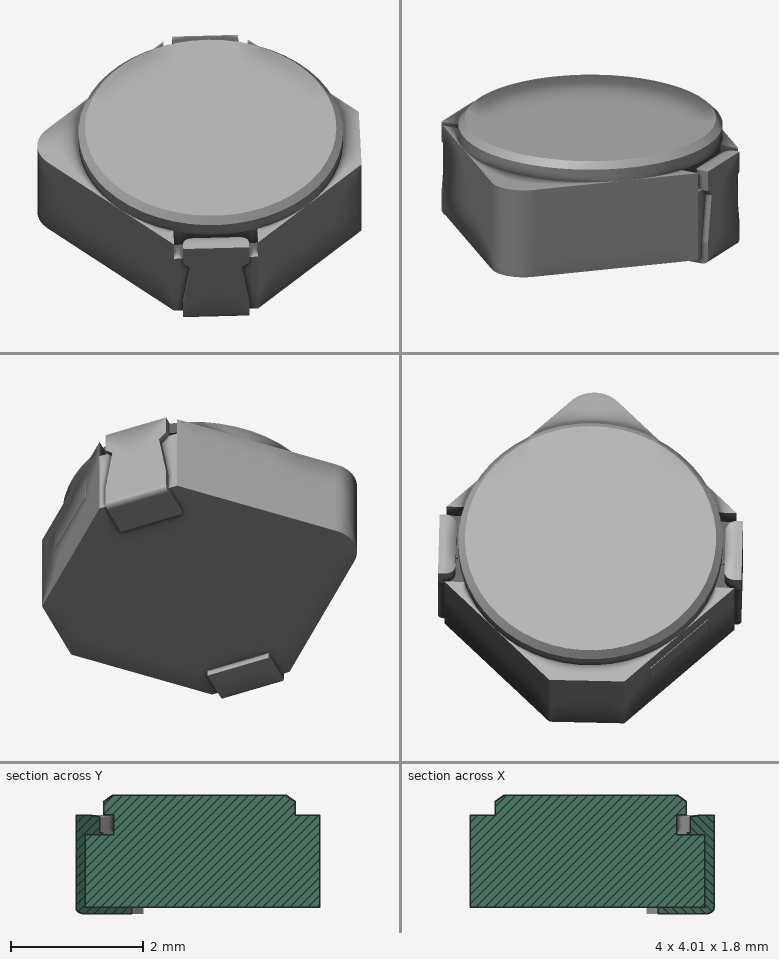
import cadquery as cq
import math

body_side = 4.0
half_side = body_side / 2
foot_thickness = 0.1
body_top = 1.5
lid_height = 0.3
lid_chamfer = 0.1

terminal_corner_cut = 0.9
plain_corner_cut = 0.8
rounded_corner_radius = 0.5

recess_floor = 1.2
recess_depth = 0.3

terminal_width = 1.0
sheet_thickness = 0.1
foot_length = 0.6
bend_radius = 0.095
tab_length = 0.16
tab_drop = 0.032
toe_width = 0.192
toe_length = 0.032
toe_height = 0.032
waist_depth = 0.115
waist_bottom = 0.355
waist_narrowest = 1.083
waist_top = 1.185

pad_length = 1.205
pad_height = 0.385
pad_thickness = 0.01
pad_center_x = 0.06
pad_center_z = 1.023

corner_distance = (body_side - terminal_corner_cut) / math.sqrt(2)
corner_face_width = terminal_corner_cut * math.sqrt(2)
terminal_outer = corner_distance + sheet_thickness
terminal_angles = (-45, 135)


def make_recess():
    """Block removed from the top of a corner, with the corner facing +X."""
    return (
        cq.Workplane("XY")
        .box(recess_depth, corner_face_width, body_top - recess_floor, centered=(False, True, False))
        .translate((corner_distance - recess_depth, 0, recess_floor))
    )


def make_body():
    """Square body with cut corners, a round chamfered lid and two corner recesses."""
    block = (
        cq.Workplane("XY", origin=(0, 0, foot_thickness))
        .moveTo(-half_side + rounded_corner_radius, -half_side)
        .lineTo(half_side - terminal_corner_cut, -half_side)
        .lineTo(half_side, -half_side + terminal_corner_cut)
        .lineTo(half_side, half_side - plain_corner_cut)
        .lineTo(half_side - plain_corner_cut, half_side)
        .lineTo(-half_side + terminal_corner_cut, half_side)
        .lineTo(-half_side, half_side - terminal_corner_cut)
        .lineTo(-half_side, -half_side + rounded_corner_radius)
        .radiusArc((-half_side + rounded_corner_radius, -half_side), -rounded_corner_radius)
        .close()
        .extrude(body_top - foot_thickness)
    )
    for angle in terminal_angles:
        block = block.cut(make_recess().rotate((0, 0, 0), (0, 0, 1), angle))
    lid = (
        cq.Workplane("XY", origin=(0, 0, body_top))
        .circle(half_side)
        .extrude(lid_height)
        .faces(">Z")
        .chamfer(lid_chamfer)
    )
    pad = (
        cq.Workplane("XY")
        .box(pad_length, pad_thickness, pad_height)
        .translate((pad_center_x, half_side + pad_thickness / 2, pad_center_z))
    )
    return block.union(lid).union(pad)


def make_foot():
    """Flat foot under the body, rounded where it bends up into the upright."""
    return (
        cq.Workplane("XY")
        .box(foot_length, terminal_width, foot_thickness, centered=(False, True, False))
        .translate((terminal_outer - foot_length, 0, 0))
        .edges(">X and <Z")
        .fillet(bend_radius)
    )


def make_upright():
    """Plate against the corner face, pinched by a notch on each side."""
    half_width = terminal_width / 2
    half_waist = half_width - waist_depth
    return (
        cq.Workplane("YZ", origin=(corner_distance, 0, 0))
        .moveTo(-half_width, foot_thickness)
        .lineTo(half_width, foot_thickness)
        .lineTo(half_width, waist_bottom)
        .lineTo(half_waist, waist_narrowest)
        .lineTo(half_width, waist_top)
        .lineTo(half_width, body_top)
        .lineTo(-half_width, body_top)
        .lineTo(-half_width, waist_top)
        .lineTo(-half_waist, waist_narrowest)
        .lineTo(-half_width, waist_bottom)
        .close()
        .extrude(sheet_thickness)
    )


def make_tab():
    """Inward tab on the recess floor: rounded ends, a top that curves down, and a small toe."""
    half_width = terminal_width / 2
    tab_end = corner_distance - tab_length
    plan = (
        cq.Workplane("XY", origin=(0, 0, recess_floor))
        .moveTo(corner_distance, -half_width)
        .radiusArc((tab_end, -half_width + tab_length), tab_length)
        .lineTo(tab_end, half_width - tab_length)
        .radiusArc((corner_distance, half_width), tab_length)
        .close()
        .extrude(body_top - recess_floor)
    )
    tab_top_radius = (tab_length**2 + tab_drop**2) / (2 * tab_drop)
    profile = (
        cq.Workplane("XZ", origin=(0, half_width, 0))
        .moveTo(tab_end, recess_floor)
        .lineTo(corner_distance, recess_floor)
        .lineTo(corner_distance, body_top)
        .radiusArc((tab_end, body_top - tab_drop), -tab_top_radius)
        .close()
        .extrude(terminal_width)
    )
    toe = (
        cq.Workplane("XY")
        .box(toe_length, toe_width, toe_height, centered=(False, True, False))
        .translate((tab_end - toe_length, 0, recess_floor))
    )
    return plan.intersect(profile).union(toe)


def make_terminal(angle):
    """Terminal clip, turned about the part's axis to the given angle."""
    clip = make_foot().union(make_upright()).union(make_tab())
    return clip.rotate((0, 0, 0), (0, 0, 1), angle)


body = make_body()
terminals = [make_terminal(angle) for angle in terminal_angles]
result = cq.Compound.makeCompound([body.val(), *[terminal.val() for terminal in terminals]])